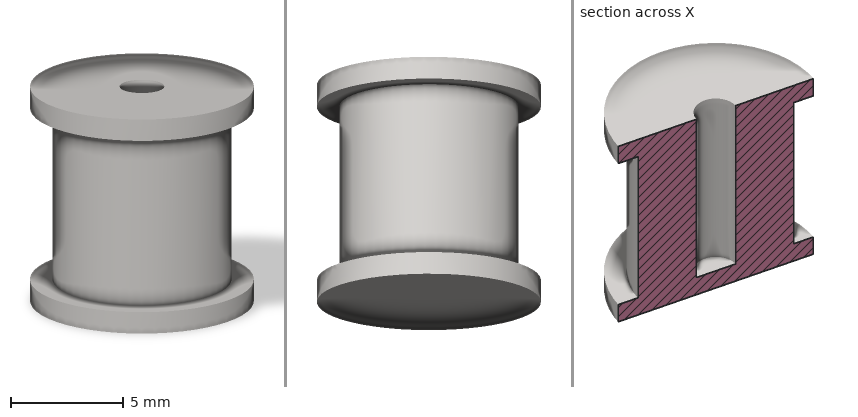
import cadquery as cq

height = 10.0
flange_diameter = 10.0
flange_thickness = 1.0
core_diameter = 8.0
bore_diameter = 2.0

core_height = height - 2 * flange_thickness
bore_depth = height - flange_thickness


def disc(diameter, thickness, base_z):
    """Solid cylinder on the Z axis, starting at base_z."""
    return cq.Workplane("XY").workplane(offset=base_z).circle(diameter / 2).extrude(thickness)


bottom_flange = disc(flange_diameter, flange_thickness, 0)
core = disc(core_diameter, core_height, flange_thickness)
top_flange = disc(flange_diameter, flange_thickness, height - flange_thickness)
bore = disc(bore_diameter, bore_depth, height - bore_depth)

result = bottom_flange.union(core).union(top_flange).cut(bore)